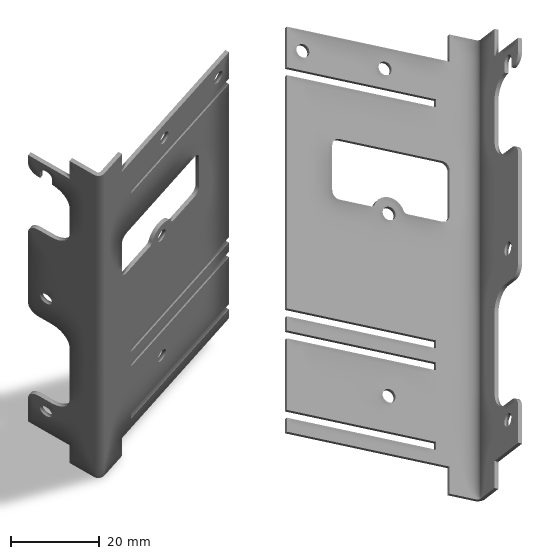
import cadquery as cq

width = 20.0
depth = 50.0
height = 113.5
thickness = 1.0
bend_radius = 1.7

spine_width = 8.5
end_step = 6.7
hole_diameter = 3.3

front_hole_x = 5.0
front_hole_heights = [14.3, 56.6]
hook_slot_center_z = 102.8
notches = [(18.6, 48.4), (80.9, 100.8)]
notch_radius = 5.0
notch_mouth_radius = 3.0

side_holes = [(46.0, 101.7), (25.0, 101.7), (24.0, 66.1), (24.0, 21.0)]
slit_width = 1.9
slit_end_y = 11.9
slit_heights = [11.1, 30.8, 36.2, 95.8]

window_y = (spine_width, 38.5)
window_z = (66.9, 81.8)
window_radius = 1.9
lug_center = side_holes[2]
lug_radius = 4.0
lug_fillet = 1.0


def box_between(x_range, y_range, z_range):
    """Box spanning the given ranges along X, Y and Z."""
    ranges = (x_range, y_range, z_range)
    sizes = [end - start for start, end in ranges]
    corner = tuple(start for start, end in ranges)
    return cq.Workplane("XY").box(*sizes, centered=False).translate(corner)


def bent_sheet():
    """L-section with a rounded bend, its outer corner at X = width, Y = 0."""
    inner_x = width - thickness
    return (
        cq.Workplane("XY")
        .polyline([
            (0, 0),
            (width, 0),
            (width, depth),
            (inner_x, depth),
            (inner_x, thickness),
            (0, thickness),
        ])
        .close()
        .extrude(height)
        .edges(cq.selectors.NearestToPointSelector((width, 0, height / 2)))
        .fillet(bend_radius)
        .edges(cq.selectors.NearestToPointSelector((inner_x, thickness, height / 2)))
        .fillet(bend_radius - thickness)
    )


def end_steps():
    """Cutters that shorten both flanges beyond the spine."""
    spine_x = width - spine_width
    cutters = cq.Workplane("XY")
    for z_range in [(0, end_step), (height - end_step, height)]:
        cutters = cutters.add(box_between((0, spine_x), (0, thickness), z_range))
        cutters = cutters.add(box_between((spine_x, width), (spine_width, depth), z_range))
    return cutters.combine()


def edge_notch(bottom, top):
    """Notch with rounded inner corners and a mouth flaring at the free edge."""
    inner_x = width - spine_width
    mouth = notch_mouth_radius
    return (
        cq.Workplane("XZ")
        .moveTo(0, bottom - mouth)
        .radiusArc((mouth, bottom), mouth)
        .lineTo(inner_x - notch_radius, bottom)
        .radiusArc((inner_x, bottom + notch_radius), -notch_radius)
        .lineTo(inner_x, top - notch_radius)
        .radiusArc((inner_x - notch_radius, top), -notch_radius)
        .lineTo(mouth, top)
        .radiusArc((0, top + mouth), mouth)
        .close()
        .extrude(-thickness)
    )


def front_holes():
    """Round holes through the front flange."""
    centers = [(front_hole_x, z) for z in front_hole_heights]
    return cq.Workplane("XZ").pushPoints(centers).circle(hole_diameter / 2).extrude(-thickness)


def hook_slot():
    """Round-topped slot opening down into the upper notch."""
    radius = hole_diameter / 2
    notch_bottom, notch_top = notches[-1]
    slot_bottom = notch_top - radius
    return (
        cq.Workplane("XZ")
        .moveTo(front_hole_x - radius, slot_bottom)
        .lineTo(front_hole_x - radius, hook_slot_center_z)
        .radiusArc((front_hole_x + radius, hook_slot_center_z), radius)
        .lineTo(front_hole_x + radius, slot_bottom)
        .close()
        .extrude(-thickness)
    )


def side_plane():
    """Plane on the inner face of the side flange, with Y and Z as its axes."""
    return cq.Workplane("YZ", origin=(width - thickness, 0, 0))


def side_hole_cutters():
    """Round holes through the side flange."""
    return side_plane().pushPoints(side_holes).circle(hole_diameter / 2).extrude(thickness)


def slits():
    """Slits running in from the free edge of the side flange."""
    centers = [((slit_end_y + depth) / 2, z) for z in slit_heights]
    return side_plane().pushPoints(centers).rect(depth - slit_end_y, slit_width).extrude(thickness)


def window():
    """Rounded rectangular opening, interrupted by the lug on its lower edge."""
    opening = box_between((width - thickness, width), window_y, window_z)
    opening = opening.edges("|X").fillet(window_radius)
    lug = side_plane().center(*lug_center).circle(lug_radius).extrude(thickness)
    lug_y = lug_center[0]
    lug_reach = lug_radius + lug_fillet / 2
    lug_corners = cq.selectors.BoxSelector(
        (width - 2 * thickness, lug_y - lug_reach, window_z[0] - lug_fillet / 2),
        (width + thickness, lug_y + lug_reach, window_z[0] + lug_fillet / 2),
    )
    return opening.cut(lug).edges("|X").edges(lug_corners).fillet(lug_fillet)


result = bent_sheet().cut(end_steps())
for notch_bottom_z, notch_top_z in notches:
    result = result.cut(edge_notch(notch_bottom_z, notch_top_z))
result = result.cut(front_holes()).cut(hook_slot())
result = result.cut(window()).cut(side_hole_cutters()).cut(slits())